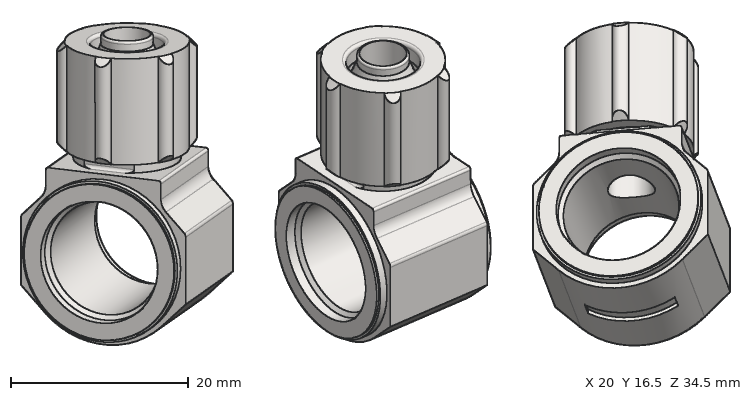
import cadquery as cq
import math


block_radius = 10.0
block_half_depth = 7.0
shoulder_half_width = 7.0
shoulder_top = 10.0
flat_end = 4.05
flat_edge_fillet = 0.6
shoulder_valley_fillet = 2.0
shoulder_edge_fillet = 0.3

collar_radius = 18.8 / 2
collar_half_depth = 8.25
collar_step = (18.8 - 18.2) / 2
bore_radius = 13.2 / 2
bore_mouth_radius = 14.2 / 2
bore_mouth_depth = 1.25

groove_width = 2.05
groove_floor_radius = 9.55
groove_half_length = 5.15

neck_radius = 6.07
neck_half_flat = 5.25
neck_flat_fillet = 0.4
spigot_radius = 10.9 / 2
spigot_top = 19.32
stem_radius = 6.8 / 2
barb_radius = 3.73
barb_base = 21.5
tip_radius = 5.9 / 2
tip_base = 23.35
tip_top = 24.5
passage_radius = 5.3 / 2
tip_fillet = 0.28

nut_bottom = 11.25
nut_top = 23.7
nut_radius = 7.0
nut_mouth_radius = 8.35 / 2
nut_mouth_fillet = 0.4
nut_mouth_depth = 2.07
rib_count = 6
rib_radius = 0.93
rib_end_chamfer = 0.85


def cylinder_along_y(radius, half_depth):
    return cq.Workplane("XZ").circle(radius).extrude(half_depth, both=True)


def cylinder_along_z(radius, bottom, top):
    return cq.Workplane("XY").workplane(offset=bottom).circle(radius).extrude(top - bottom)


def make_block():
    valley_height = flat_end + block_radius - shoulder_half_width
    tangent = block_radius * math.sin(math.radians(45))
    lower_flat_end = -block_radius * math.tan(math.radians(22.5))
    block = (
        cq.Workplane("XZ")
        .moveTo(-shoulder_half_width, shoulder_top)
        .lineTo(shoulder_half_width, shoulder_top)
        .lineTo(shoulder_half_width, valley_height)
        .lineTo(block_radius, flat_end)
        .lineTo(block_radius, lower_flat_end)
        .lineTo(tangent, -tangent)
        .threePointArc((0, -block_radius), (-tangent, -tangent))
        .lineTo(-block_radius, lower_flat_end)
        .lineTo(-block_radius, flat_end)
        .lineTo(-shoulder_half_width, valley_height)
        .close()
        .extrude(block_half_depth, both=True)
    )
    for x, z, fillet in (
        (shoulder_half_width, shoulder_top, shoulder_edge_fillet),
        (shoulder_half_width, valley_height, shoulder_valley_fillet),
        (block_radius, flat_end, flat_edge_fillet),
    ):
        for side in (-1, 1):
            edge = cq.selectors.NearestToPointSelector((side * x, 0, z))
            block = block.edges("|Y").edges(edge).fillet(fillet)
    return block


def make_collars():
    """Collars with a small square step around their outer faces."""
    collars = cylinder_along_y(collar_radius, collar_half_depth - collar_step)
    return collars.union(cylinder_along_y(collar_radius - collar_step, collar_half_depth))


def make_bore():
    cone_depth = bore_mouth_radius - bore_radius
    mouth_end = collar_half_depth - bore_mouth_depth
    cone_end = mouth_end - cone_depth
    return (
        cq.Workplane("XY")
        .moveTo(0, -collar_half_depth)
        .lineTo(bore_mouth_radius, -collar_half_depth)
        .lineTo(bore_mouth_radius, -mouth_end)
        .lineTo(bore_radius, -cone_end)
        .lineTo(bore_radius, cone_end)
        .lineTo(bore_mouth_radius, mouth_end)
        .lineTo(bore_mouth_radius, collar_half_depth)
        .lineTo(0, collar_half_depth)
        .close()
        .revolve(360, (0, 0), (0, 1))
    )


def make_groove():
    ring = cylinder_along_y(2 * block_radius, groove_width / 2)
    ring = ring.cut(cylinder_along_y(groove_floor_radius, groove_width / 2))
    underside = (
        cq.Workplane("XY")
        .rect(2 * groove_half_length, groove_width)
        .extrude(-2 * block_radius)
    )
    return ring.intersect(underside)


def make_neck():
    """Neck with two flats that run out into the block through concave fillets."""
    root = neck_half_flat + neck_flat_fillet
    arc_offset = neck_flat_fillet * (1 - math.cos(math.radians(45)))
    neck = cylinder_along_z(neck_radius, shoulder_top, nut_bottom)
    flat_sided = (
        cq.Workplane("YZ")
        .moveTo(-root, shoulder_top)
        .lineTo(root, shoulder_top)
        .threePointArc(
            (neck_half_flat + arc_offset, shoulder_top + arc_offset),
            (neck_half_flat, shoulder_top + neck_flat_fillet),
        )
        .lineTo(neck_half_flat, nut_bottom)
        .lineTo(-neck_half_flat, nut_bottom)
        .lineTo(-neck_half_flat, shoulder_top + neck_flat_fillet)
        .threePointArc(
            (-neck_half_flat - arc_offset, shoulder_top + arc_offset),
            (-root, shoulder_top),
        )
        .close()
        .extrude(neck_radius, both=True)
    )
    return neck.intersect(flat_sided)


def make_barbed_spigot():
    spigot = (
        cq.Workplane("XZ")
        .moveTo(0, shoulder_top)
        .lineTo(neck_half_flat, shoulder_top)
        .lineTo(neck_half_flat, nut_bottom)
        .lineTo(spigot_radius, nut_bottom)
        .lineTo(spigot_radius, spigot_top)
        .lineTo(stem_radius, spigot_top)
        .lineTo(stem_radius, barb_base)
        .lineTo(barb_radius, barb_base)
        .lineTo(tip_radius, tip_base)
        .lineTo(tip_radius, tip_top)
        .lineTo(0, tip_top)
        .close()
        .revolve(360, (0, 0), (0, 1))
    )
    return spigot.faces(">Z").edges().fillet(tip_fillet)


def make_housing():
    return (
        make_block()
        .union(make_collars())
        .cut(make_groove())
        .union(make_neck())
        .union(make_barbed_spigot())
        .cut(make_bore())
        .cut(cylinder_along_z(passage_radius, 0, tip_top))
    )


def make_grip_ribs():
    """Round ribs around the nut, their ends trimmed by a common 45 degree cone."""
    outer_radius = nut_radius + rib_radius
    ribs = (
        cq.Workplane("XY")
        .workplane(offset=nut_bottom)
        .polarArray(nut_radius, 90, 360, rib_count)
        .circle(rib_radius)
        .extrude(nut_top - nut_bottom)
    )
    envelope = cylinder_along_z(outer_radius, nut_bottom, nut_top)
    envelope = envelope.faces("<Z or >Z").edges().chamfer(rib_end_chamfer)
    return ribs.intersect(envelope)


def make_nut_barrel():
    mouth_bottom = nut_top - nut_mouth_depth
    arc_offset = nut_mouth_fillet * (1 - math.cos(math.radians(45)))
    return (
        cq.Workplane("XZ")
        .moveTo(spigot_radius, nut_bottom)
        .lineTo(nut_radius, nut_bottom)
        .lineTo(nut_radius, nut_top)
        .lineTo(nut_mouth_radius + nut_mouth_fillet, nut_top)
        .threePointArc(
            (nut_mouth_radius + arc_offset, nut_top - arc_offset),
            (nut_mouth_radius, nut_top - nut_mouth_fillet),
        )
        .lineTo(nut_mouth_radius, mouth_bottom)
        .lineTo(spigot_radius, mouth_bottom)
        .close()
        .revolve(360, (0, 0), (0, 1))
    )


def make_nut():
    inside = cylinder_along_z(spigot_radius, nut_bottom, nut_top)
    return make_nut_barrel().union(make_grip_ribs().cut(inside))


housing = make_housing()
nut = make_nut()
result = cq.Compound.makeCompound([housing.solids().val(), nut.solids().val()])